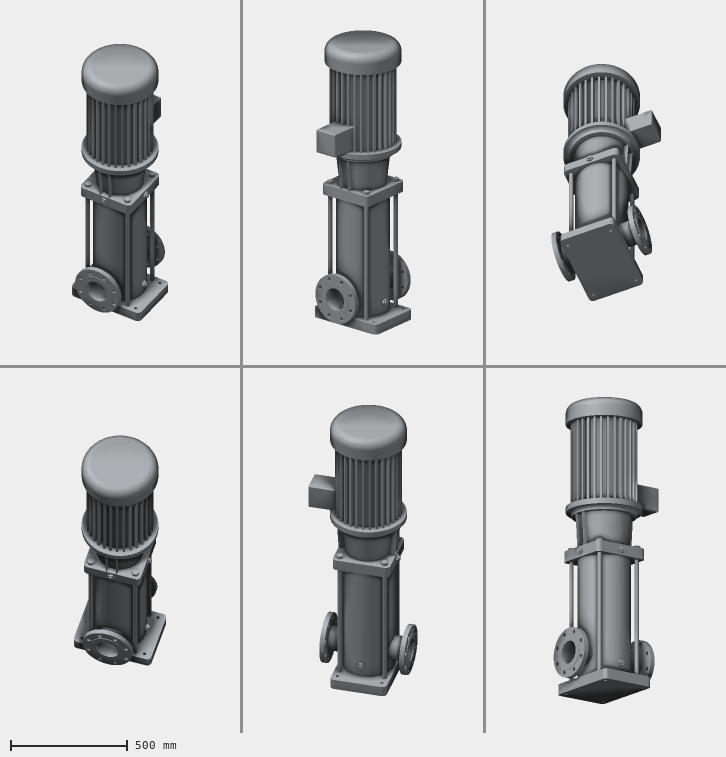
import cadquery as cq

base_top = 46.0
head_bottom = 578.0
head_top = 626.0
lantern_top = 773.0
motor_flange_bottom = 792.0
motor_flange_top = 816.0
cover_bottom = 1184.0
total_height = 1273.0

base_length = 348.0
base_width = 250.0
head_side = 255.0
plate_corner_radius = 19.0
base_hole_diameter = 14.0
base_hole_spacing = (280.0, 199.0)

sleeve_diameter = 230.0
rod_diameter = 19.0
rod_spacing = 200.0
rod_nut_diameter = 30.0
rod_nut_height = 13.0

port_height = 143.0
pipe_diameter = 108.0
bore_diameter = 100.0
port_flange_diameter = 220.0
port_flange_thickness = 22.0
raised_face_diameter = 150.0
raised_face_height = 3.0
port_face_offset = 191.0
bolt_count = 8
bolt_hole_diameter = 18.0
bolt_circle_diameter = 181.0

plug_hex_diameter = 32.0
plug_hex_height = 8.0
plug_tip_diameter = 18.0
plug_tip_height = 6.0
head_plug_height = (head_bottom + head_top) / 2
drain_plug_height = 102.0
drain_plug_neck = 4.0

lantern_bottom_radius = 102.0
lantern_top_radius = 118.0
rib_offset = 23.0
rib_thickness = 4.0
rib_bottom_reach = 126.0
rib_top_reach = 135.0

motor_flange_diameter = 330.0
spigot_diameter = 280.0
spigot_fillet_radius = motor_flange_bottom - lantern_top
core_diameter = 250.0
fin_reach = 144.0
fin_thickness = 9.0
fin_count = 30
cover_edge_radius = 40.0

box_width = 105.0
box_bottom = 827.0
box_top = 933.0
box_face_offset = 255.0
box_edge_radius = 5.0


def cylinder(diameter, bottom, top):
    return cq.Workplane("XY").workplane(offset=bottom).circle(diameter / 2).extrude(top - bottom)


def rounded_plate(length, width, bottom, top):
    plate = cq.Workplane("XY").workplane(offset=bottom).rect(length, width).extrude(top - bottom)
    return plate.edges("|Z").fillet(plate_corner_radius)


def make_base():
    base = rounded_plate(base_length, base_width, 0, base_top)
    return base.faces(">Z").workplane().rarray(*base_hole_spacing, 2, 2).hole(base_hole_diameter)


def make_tie_rods():
    rods = (
        cq.Workplane("XY").workplane(offset=base_top)
        .rarray(rod_spacing, rod_spacing, 2, 2)
        .circle(rod_diameter / 2).extrude(head_bottom - base_top)
    )
    nuts = (
        cq.Workplane("XY").workplane(offset=head_top)
        .rarray(rod_spacing, rod_spacing, 2, 2)
        .polygon(6, rod_nut_diameter).extrude(rod_nut_height)
    )
    return rods.add(nuts).combine()


def make_port():
    """Flanged pipe stub on the -Y side; its bore ends at the sleeve."""
    flange_face = port_face_offset - raised_face_height
    flange_back = flange_face - port_flange_thickness
    axis_plane = cq.Workplane("XZ", origin=(0, 0, port_height))
    pipe = axis_plane.circle(pipe_diameter / 2).extrude(flange_back)
    flange = (
        axis_plane.workplane(offset=flange_back)
        .circle(port_flange_diameter / 2).extrude(port_flange_thickness)
    )
    raised_face = (
        axis_plane.workplane(offset=flange_face)
        .circle(raised_face_diameter / 2).extrude(raised_face_height)
    )
    bore = axis_plane.circle(bore_diameter / 2).extrude(port_face_offset)
    half_pitch = 180 / bolt_count
    bolt_holes = (
        axis_plane.workplane(offset=flange_back)
        .polarArray(bolt_circle_diameter / 2, half_pitch, 360, bolt_count)
        .circle(bolt_hole_diameter / 2).extrude(port_flange_thickness)
    )
    return pipe.union(flange).union(raised_face).cut(bore).cut(bolt_holes)


def make_plug(seat_offset, height, turn, neck=0.0):
    """Hexagon plug seated on the -Y side, then turned about the Z axis."""
    seat_plane = cq.Workplane("XZ", origin=(0, -seat_offset, height))
    plug = (
        seat_plane.workplane(offset=-plug_hex_height)
        .circle(plug_tip_diameter / 2).extrude(2 * plug_hex_height + neck + plug_tip_height)
    )
    hexagon = seat_plane.workplane(offset=neck).polygon(6, plug_hex_diameter).extrude(plug_hex_height)
    return plug.union(hexagon).rotate((0, 0, 0), (0, 0, 1), turn)


def make_lantern():
    cone = (
        cq.Workplane("XZ")
        .moveTo(0, head_top)
        .lineTo(lantern_bottom_radius, head_top)
        .lineTo(lantern_top_radius, lantern_top)
        .lineTo(0, lantern_top)
        .close()
        .revolve(360, (0, 0, 0), (0, 1, 0))
    )
    for side in (-1, 1):
        rib = (
            cq.Workplane("YZ", origin=(side * rib_offset, 0, 0))
            .moveTo(-rib_bottom_reach, head_top)
            .lineTo(rib_bottom_reach, head_top)
            .lineTo(rib_top_reach, lantern_top)
            .lineTo(-rib_top_reach, lantern_top)
            .close()
            .extrude(rib_thickness / 2, both=True)
        )
        cone = cone.union(rib)
    return cone


def make_motor_flange():
    spigot_radius = spigot_diameter / 2
    flange_radius = motor_flange_diameter / 2
    return (
        cq.Workplane("XZ")
        .moveTo(0, lantern_top)
        .lineTo(spigot_radius, lantern_top)
        .radiusArc((spigot_radius + spigot_fillet_radius, motor_flange_bottom), spigot_fillet_radius)
        .lineTo(flange_radius, motor_flange_bottom)
        .lineTo(flange_radius, motor_flange_top)
        .lineTo(0, motor_flange_top)
        .close()
        .revolve(360, (0, 0, 0), (0, 1, 0))
    )


def make_finned_body():
    body = cylinder(core_diameter, motor_flange_top, cover_bottom)
    fin = (
        cq.Workplane("XY").workplane(offset=motor_flange_top)
        .center(0, fin_reach / 2)
        .rect(fin_thickness, fin_reach).extrude(cover_bottom - motor_flange_top)
    )
    for index in range(fin_count):
        body = body.union(fin.rotate((0, 0, 0), (0, 0, 1), index * 360 / fin_count))
    return body


def make_fan_cover():
    cover = cylinder(motor_flange_diameter, cover_bottom, total_height)
    return cover.faces(">Z").edges().fillet(cover_edge_radius)


def make_terminal_box():
    box = (
        cq.Workplane("XZ", origin=(0, box_face_offset, (box_bottom + box_top) / 2))
        .rect(box_width, box_top - box_bottom).extrude(box_face_offset)
    )
    return box.edges("|Y or >Y").fillet(box_edge_radius)


port = make_port()
head_face = head_side / 2
sleeve_radius = sleeve_diameter / 2

parts = [
    cylinder(sleeve_diameter, base_top, head_bottom),
    port,
    port.mirror("XZ"),
    rounded_plate(head_side, head_side, head_bottom, head_top),
    make_tie_rods(),
    make_plug(head_face, head_plug_height, 0),
    make_plug(head_face, head_plug_height, 90),
    make_plug(sleeve_radius, drain_plug_height, 90, drain_plug_neck),
    make_plug(sleeve_radius, drain_plug_height, -90, drain_plug_neck),
    make_lantern(),
    make_motor_flange(),
    make_finned_body(),
    make_fan_cover(),
    make_terminal_box(),
]

result = make_base()
for part in parts:
    result = result.union(part)